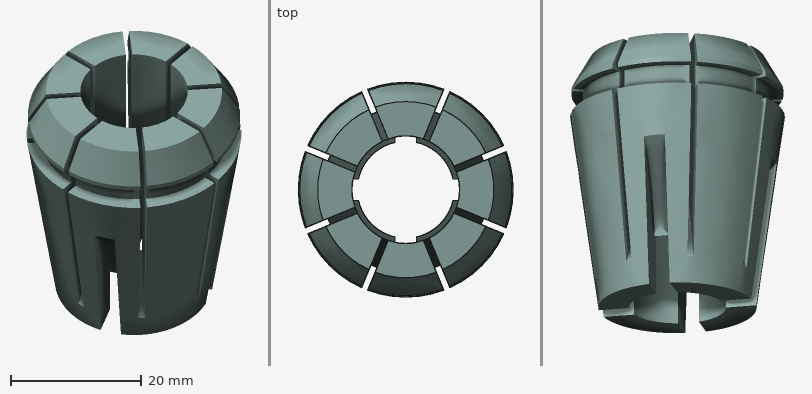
import cadquery as cq
import math

height = 40.0
body_diameter = 33.0
body_radius = body_diameter / 2
taper_angle = math.radians(8)
body_top = 30.9

nose_angle = math.radians(30)
nose_top_radius = 13.5
rim_radius = 16.3
rim_bottom = 34.45
groove_radius = 14.55

bore_radius = 8.25
lip_radius = 7.45
lip_height = 9.0

slit_count = 8
slit_width = 1.0
slit_floor_edge = 4.1
slit_floor_angle = math.radians(66)

slot_count = 4
slot_width = 3.3
slot_top = 22.95
slot_inner_height = lip_height
slot_cutter_radius = 21.0

cut_reach = body_diameter


def taper_radius(z):
    """Outer radius of the tapered body at height z."""
    return body_radius - (body_top - z) * math.tan(taper_angle)


def radial_cutter(profile, width, angle):
    """Thicken a profile drawn in the XZ plane and turn it about the Z axis."""
    return profile.extrude(width / 2, both=True).rotate((0, 0, 0), (0, 0, 1), angle)


def make_blank():
    """Turned collet body with its stepped bore."""
    rim_top = height - (rim_radius - nose_top_radius) / math.tan(nose_angle)
    half_section = [
        (lip_radius, 0),
        (taper_radius(0), 0),
        (body_radius, body_top),
        (groove_radius, body_top),
        (groove_radius, rim_bottom),
        (rim_radius, rim_bottom),
        (rim_radius, rim_top),
        (nose_top_radius, height),
        (bore_radius, height),
        (bore_radius, lip_height),
        (lip_radius, lip_height),
    ]
    return cq.Workplane("XZ").polyline(half_section).close().revolve(360, (0, 0), (0, 1))


def slit_profile():
    """Radial section of a slit; its floor falls outward to the taper surface."""
    floor_slope = math.tan(slit_floor_angle)
    edge_radius = taper_radius(slit_floor_edge)
    floor_at_axis = slit_floor_edge + edge_radius * floor_slope
    floor_at_reach = slit_floor_edge - (cut_reach - edge_radius) * floor_slope
    return (
        cq.Workplane("XZ")
        .moveTo(0, floor_at_axis)
        .lineTo(cut_reach, floor_at_reach)
        .lineTo(cut_reach, height)
        .lineTo(0, height)
        .close()
    )


def slot_profile():
    """Radial section of a slot; its concave roof rises outward from the bore."""
    outer_radius = taper_radius(slot_top)
    roof_run = outer_radius - bore_radius
    roof_rise = slot_top - slot_inner_height
    chord = math.hypot(roof_run, roof_rise)
    bulge = slot_cutter_radius - math.sqrt(slot_cutter_radius**2 - (chord / 2) ** 2)
    roof_middle = (
        (bore_radius + outer_radius) / 2 - bulge * roof_rise / chord,
        (slot_inner_height + slot_top) / 2 + bulge * roof_run / chord,
    )
    return (
        cq.Workplane("XZ")
        .moveTo(0, 0)
        .lineTo(0, slot_inner_height)
        .lineTo(bore_radius, slot_inner_height)
        .threePointArc(roof_middle, (outer_radius, slot_top))
        .lineTo(cut_reach, slot_top)
        .lineTo(cut_reach, 0)
        .close()
    )


result = make_blank()

slit_pitch = 360 / slit_count
for i in range(slit_count):
    result = result.cut(radial_cutter(slit_profile(), slit_width, (i + 0.5) * slit_pitch))

slot_pitch = 360 / slot_count
for i in range(slot_count):
    result = result.cut(radial_cutter(slot_profile(), slot_width, i * slot_pitch))